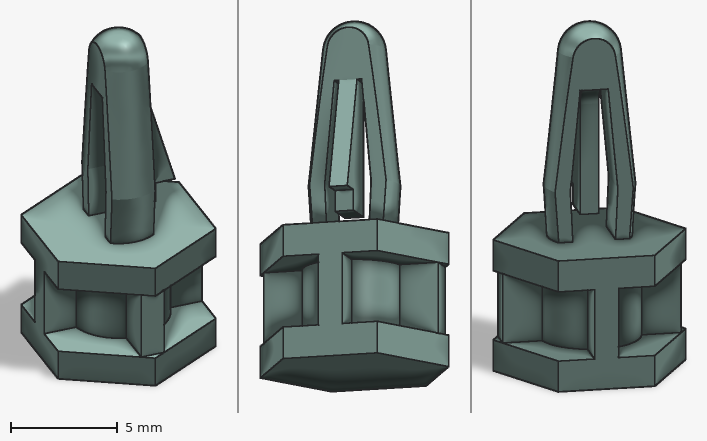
import cadquery as cq
import math

across_flats = 8.0
base_height = 6.42
flange_thickness = 1.51
core_diameter = 4.9
cross_width = 1.16
cross_length = 8.55

total_height = 16.8
tip_radius = 1.5
tip_base_z = 15.45
widest_z = 8.9
widest_radius = 2.17
root_radius = 2.02
pin_thickness = 2.18

slot_top_z = 13.81
slot_top_width = 1.35
slot_widest_width = 2.27
slot_root_width = 2.05

latch_width = 0.89
latch_front_y = 0.0
latch_fillet = 1.0
latch_bottom_z = 7.41
hook_bottom_z = 8.4
hook_tip_y = 2.69
hook_step_y = 1.7


def make_base():
    across_corners = across_flats / math.cos(math.pi / 6)
    hexagon = cq.Workplane("XY").polygon(6, across_corners)
    envelope = hexagon.extrude(base_height)

    web = cq.Workplane("XY").circle(core_diameter / 2).extrude(base_height)
    for length, width in ((cross_length, cross_width), (cross_width, across_flats)):
        web = web.union(cq.Workplane("XY").rect(length, width).extrude(base_height))
    base = web.intersect(envelope)

    for bottom_z in (0, base_height - flange_thickness):
        flange = cq.Workplane("XY", origin=(0, 0, bottom_z)).polygon(6, across_corners)
        base = base.union(flange.extrude(flange_thickness))
    return base


def make_pin():
    tip_center_z = total_height - tip_radius
    tip_base_radius = math.sqrt(tip_radius**2 - (tip_base_z - tip_center_z) ** 2)
    arc_offset = tip_radius * math.sqrt(0.5)
    pin = (
        cq.Workplane("XZ")
        .moveTo(0, base_height)
        .lineTo(root_radius, base_height)
        .lineTo(widest_radius, widest_z)
        .lineTo(tip_base_radius, tip_base_z)
        .threePointArc((arc_offset, tip_center_z + arc_offset), (0, total_height))
        .close()
        .revolve(360, (0, 0), (0, 1))
    )
    slab = cq.Workplane("XY").box(
        2 * widest_radius, pin_thickness, total_height, centered=(True, True, False)
    )
    slot = (
        cq.Workplane("XZ")
        .moveTo(0, base_height)
        .lineTo(slot_root_width / 2, base_height)
        .lineTo(slot_widest_width / 2, widest_z)
        .lineTo(slot_top_width / 2, slot_top_z)
        .lineTo(0, slot_top_z)
        .close()
        .extrude(pin_thickness, both=True)
    )
    slot = slot.union(slot.mirror("YZ"))
    return pin.intersect(slab).cut(slot)


def make_latch():
    pin_back_y = pin_thickness / 2
    fillet_inset = latch_fillet * (1 - math.sqrt(0.5))
    return (
        cq.Workplane("YZ")
        .moveTo(latch_front_y - latch_fillet, slot_top_z)
        .threePointArc(
            (latch_front_y - fillet_inset, slot_top_z - fillet_inset),
            (latch_front_y, slot_top_z - latch_fillet),
        )
        .lineTo(latch_front_y, latch_bottom_z)
        .lineTo(hook_step_y, latch_bottom_z)
        .lineTo(hook_step_y, hook_bottom_z)
        .lineTo(hook_tip_y, hook_bottom_z)
        .lineTo(pin_back_y, slot_top_z)
        .close()
        .extrude(latch_width / 2, both=True)
    )


result = make_base().union(make_pin()).union(make_latch())